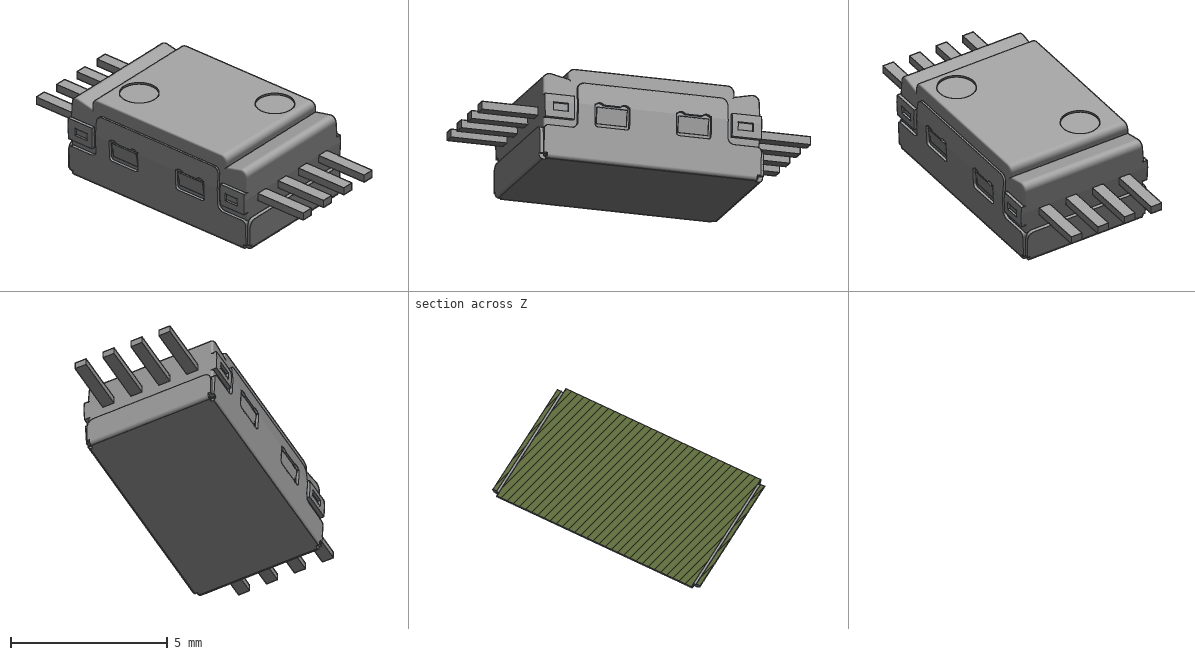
import cadquery as cq
total_length = 11.15
total_width = 4.83
total_height = 3.12
parting_z = 1.87

body_half_length = 3.68
body_foot_half_length = 3.62
body_top_half_length = 3.66
body_half_width = 2.3
body_foot_half_width = 2.2
body_top_half_width = 2.23
plateau_half_length = 2.81
notch_z = 2.75
shoulder_z = 2.94
plateau_round = 0.22
shoulder_round = 0.22
rim_round = 0.07
selection_margin = 0.01

ear_length = 1.0
ear_bottom_z = 1.37
ear_top_z = 2.14
ear_edge_half_width = 2.4
ear_slot_length = 0.51
ear_slot_end_gap = 0.29
ear_slot_depth = 0.09

pin_width = 0.4
pin_height = 0.27
pin_pitch = 1.01
pins_per_end = 4

clip_half_length = 3.79
bend_round = 0.13
bend_gap_diameter = 0.08
bend_gap_x = 3.6
bend_gap_z = bend_round
corner_relief_x = 3.57
corner_relief_y = 2.15
corner_relief_z = 0.18
end_flap_half_width = 2.24
flap_top_z = 1.1
flap_corner_round = 0.26
tongue_half_length = 2.54
tongue_top_z = 2.64
tongue_corner_round = 0.22
side_flap_corner_round = 0.13
clip_foot_half_width = 2.31
clip_crease_half_width = 2.4
clip_top_half_width = 2.33
crease_z = 1.91

window_center_x = 1.38
window_width = 1.18
window_bottom_z = 1.2
window_top_z = 1.95
window_corner_round = 0.11
relief_diameter = 0.31
relief_offset = 0.42
relief_z = 1.86
wedge_width = 1.03
wedge_bottom_z = 1.34
wedge_top_z = parting_z
wedge_root = 2.27
wedge_reach = 2.36

mark_diameter = 1.27
mark_depth = 0.07
mark_centers = [(-1.9, -0.98), (1.86, 1.3)]


def mirrored_outline(plane, right_side):
    """Closed outline from the points of its right side, listed bottom to top."""
    left_side = [(-u, v) for u, v in reversed(right_side)]
    return cq.Workplane(plane).polyline(right_side + left_side).close()


def centered_box(x_size, y_size, z_bottom, z_top):
    height = z_top - z_bottom
    return cq.Workplane("XY").workplane(offset=z_bottom).rect(x_size, y_size).extrude(height)


def round_mirrored_edges(solid, x, z, radius):
    """Round the two edges parallel to Y that pass through (-x, z) and (x, z)."""
    m = selection_margin
    for edge_x in (-x, x):
        around_edge = cq.selectors.BoxSelector((edge_x - m, -m, z - m), (edge_x + m, m, z + m))
        solid = solid.edges(around_edge).fillet(radius)
    return solid


def make_end_drafts():
    """Full-width block whose two ends lean in away from the parting plane."""
    return mirrored_outline("XZ", [
        (body_foot_half_length, bend_round),
        (body_half_length, parting_z),
        (body_top_half_length, shoulder_z),
        (plateau_half_length, notch_z),
        (plateau_half_length, total_height),
    ]).extrude(total_width / 2, both=True)


def make_upper_housing():
    lengthwise = round_mirrored_edges(make_end_drafts(), body_top_half_length, shoulder_z, shoulder_round)
    lengthwise = lengthwise.edges("|Y and >Z").fillet(plateau_round)
    crosswise = mirrored_outline("YZ", [
        (body_half_width, parting_z),
        (body_top_half_width, total_height),
    ]).extrude(body_half_length, both=True)
    housing = lengthwise.intersect(crosswise)
    rims = housing.faces("<Y or >Y").edges("not <Z")
    return rims.fillet(rim_round)


def make_lower_housing():
    lengthwise = make_end_drafts()
    crosswise = mirrored_outline("YZ", [
        (body_foot_half_width, bend_round),
        (body_half_width, parting_z),
    ]).extrude(body_half_length, both=True)
    return lengthwise.intersect(crosswise).edges("not (|X or |Y)").fillet(rim_round)


def make_ears():
    middle_gap = centered_box(2 * (body_half_length - ear_length), total_width, ear_bottom_z, ear_top_z)
    crosswise = mirrored_outline("YZ", [
        (ear_edge_half_width, ear_bottom_z),
        (total_width / 2, parting_z),
        (ear_edge_half_width, ear_top_z),
    ]).extrude(body_half_length, both=True)
    ears = make_end_drafts().cut(middle_gap).intersect(crosswise)
    slot_x = body_half_length - ear_slot_end_gap - ear_slot_length / 2
    slot = centered_box(ear_slot_length, 2 * ear_slot_depth, parting_z - pin_height, parting_z)
    for x in (-slot_x, slot_x):
        for y in (-total_width / 2, total_width / 2):
            ears = ears.cut(slot.translate((x, y, 0)))
    return ears


def make_pins():
    return (
        cq.Workplane("XY").workplane(offset=parting_z)
        .rarray(0.11, pin_pitch, 1, pins_per_end)
        .rect(total_length, pin_width).extrude(-pin_height)
    )


def make_side_flaps():
    flap = mirrored_outline("XZ", [
        (body_half_length, 0),
        (body_half_length, flap_top_z),
        (tongue_half_length, flap_top_z),
        (tongue_half_length, tongue_top_z),
    ]).extrude(total_width / 2, both=True)
    flap = flap.edges("|Y and >Z").fillet(tongue_corner_round)
    flap = round_mirrored_edges(flap, body_half_length, flap_top_z, side_flap_corner_round)
    flap = round_mirrored_edges(flap, tongue_half_length, flap_top_z, tongue_corner_round)
    section = mirrored_outline("YZ", [
        (clip_foot_half_width, 0),
        (clip_crease_half_width, crease_z),
        (clip_top_half_width, tongue_top_z),
    ]).extrude(body_half_length, both=True)
    section = section.edges("|X and <Z").fillet(bend_round)
    return flap.intersect(section)


def make_end_flaps():
    flaps = centered_box(2 * clip_half_length, 2 * end_flap_half_width, 0, flap_top_z)
    return flaps.edges("|X and >Z").fillet(flap_corner_round).edges("|Y and <Z").fillet(bend_round)


def make_bend_gaps():
    return (
        cq.Workplane("XZ").pushPoints([(-bend_gap_x, bend_gap_z), (bend_gap_x, bend_gap_z)])
        .circle(bend_gap_diameter / 2).extrude(total_width / 2, both=True)
    )


def make_corner_reliefs():
    """Square openings at the foot of the clip, one at each of its four corners."""
    frame = centered_box(2 * clip_half_length, total_width, 0, corner_relief_z)
    lengthwise_strip = centered_box(2 * clip_half_length, 2 * corner_relief_y, 0, corner_relief_z)
    crosswise_strip = centered_box(2 * corner_relief_x, total_width, 0, corner_relief_z)
    return frame.cut(lengthwise_strip).cut(crosswise_strip)


def make_window_cutter():
    """One latch opening with its two round bend reliefs, cut through the clip sheet on both sides."""
    opening = (
        centered_box(window_width, total_width, window_bottom_z, window_top_z)
        .edges("|Y and <Z").fillet(window_corner_round)
    )
    reliefs = (
        cq.Workplane("XZ").pushPoints([(-relief_offset, relief_z), (relief_offset, relief_z)])
        .circle(relief_diameter / 2).extrude(total_width / 2, both=True)
    )
    return opening.union(reliefs)


def make_wedge():
    """Latch wedge, sticking out furthest at its upper lip."""
    return mirrored_outline("YZ", [
        (wedge_root, wedge_bottom_z),
        (wedge_reach, wedge_top_z),
    ]).extrude(wedge_width / 2, both=True)


def make_marks():
    return (
        cq.Workplane("XY").workplane(offset=total_height).pushPoints(mark_centers)
        .circle(mark_diameter / 2).extrude(-mark_depth)
    )


housing = make_upper_housing().union(make_lower_housing())
clip = make_side_flaps()
for window_x in (-window_center_x, window_center_x):
    clip = clip.cut(make_window_cutter().translate((window_x, 0, 0)))
    housing = housing.union(make_wedge().translate((window_x, 0, 0)))
clip = clip.union(make_end_flaps())
result = housing.union(clip).union(make_ears()).union(make_pins())
result = result.cut(make_marks()).cut(make_bend_gaps()).cut(make_corner_reliefs())